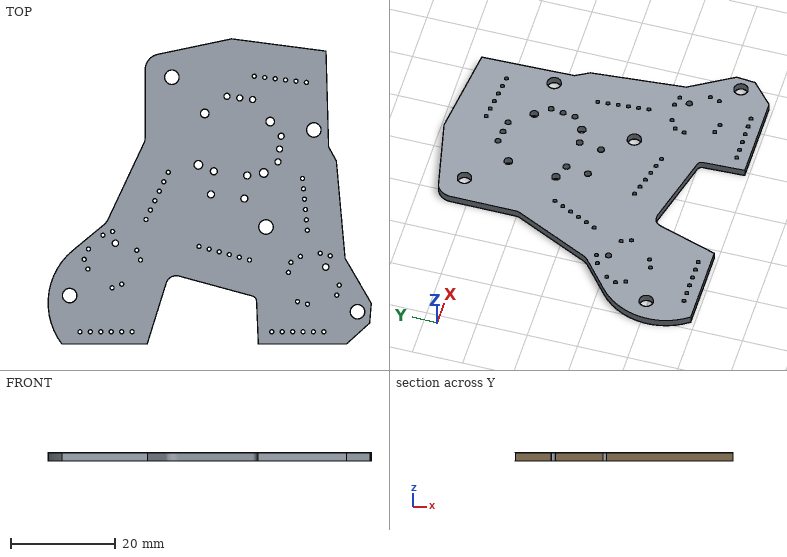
import cadquery as cq
import math

width = 61.9
height = 58.45
thickness = 1.6

side_x = 18.6
apex_x = 35.15
notch_left_x = 19.0
notch_right_x = 40.25
notch_left_top = (23.2, 13.5)
notch_right_top = (39.9, 9.0)
foot_end_x = 57.15
foot_corner = (61.6, 4.0)
right_tip_y = 7.8
right_hip = (56.9, 16.4)
right_ledge_bottom = (55.2, 35.05)
right_ledge_top = (53.75, 37.75)
top_right = (53.25, 56.1)
shoulder = (side_x, 55.0)
waist = (side_x, 38.95)
neck = (11.2, 23.3)
lobe_start = (4.75, 17.95)
lobe_mid_y = 7.8
lobe_end_x = 2.65

shoulder_radius = 3.1
waist_radius = 2.0
neck_radius = 3.0
notch_left_radius = 2.0
notch_right_radius = 1.0

mounting_diameter = 2.7
post_diameter = 1.6
lug_diameter = 1.3
lead_diameter = 1.1
light_diameter = 1.2
pin_diameter = 0.75

mounting_holes = [(4.15, 9.3), (59.25, 6.2), (41.7, 22.4), (50.9, 41.0), (23.7, 51.1)]

component_tilt = -7.1
post_center = (35.65, 38.45)
post_spacing = (12.6, 9.9)
lug_center = (34.7, 30.45)
lug_spacing = (6.45, 4.45)
lead_pitch = 2.5
top_leads_center = (36.7, 47.1)
right_leads_center = (44.3, 37.35)

pins_per_header = 6
headers = [
    ((6.1, 2.35), (16.1, 2.35)),
    ((42.85, 2.35), (52.8, 2.35)),
    ((39.5, 51.25), (49.45, 50.1)),
    ((23.0, 32.9), (18.75, 23.85)),
    ((48.7, 31.7), (49.65, 21.8)),
    ((28.9, 18.7), (38.6, 16.1)),
]

sockets = [((12.3, 16.15), 21.0), ((50.9, 12.5), -14.0)]
socket_reach = 5.0
socket_pin_pitch = 2.0
socket_corner_offset = 3.5
socket_light = (1.7, 2.7)


def placed(points, center, tilt):
    """Turn local points by tilt degrees and move them to center."""
    c = math.cos(math.radians(tilt))
    s = math.sin(math.radians(tilt))
    return [(center[0] + c * x - s * y, center[1] + s * x + c * y) for x, y in points]


def rectangle_points(spacing):
    return [(sx * spacing[0] / 2, sy * spacing[1] / 2) for sx in (-1, 1) for sy in (-1, 1)]


def row_points(first, last, count):
    step_x = (last[0] - first[0]) / (count - 1)
    step_y = (last[1] - first[1]) / (count - 1)
    return [(first[0] + i * step_x, first[1] + i * step_y) for i in range(count)]


def drill(body, points, diameter):
    cutters = cq.Workplane("XY").pushPoints(points).circle(diameter / 2).extrude(thickness)
    return body.cut(cutters)


def make_board():
    board = (
        cq.Workplane("XY")
        .moveTo(lobe_end_x, 0)
        .lineTo(notch_left_x, 0)
        .lineTo(*notch_left_top)
        .lineTo(*notch_right_top)
        .lineTo(notch_right_x, 0)
        .lineTo(foot_end_x, 0)
        .lineTo(*foot_corner)
        .lineTo(width, right_tip_y)
        .lineTo(*right_hip)
        .lineTo(*right_ledge_bottom)
        .lineTo(*right_ledge_top)
        .lineTo(*top_right)
        .lineTo(apex_x, height)
        .lineTo(*shoulder)
        .lineTo(*waist)
        .lineTo(*neck)
        .lineTo(*lobe_start)
        .threePointArc((0, lobe_mid_y), (lobe_end_x, 0))
        .close()
        .extrude(thickness)
    )
    rounded_corners = [
        (shoulder, shoulder_radius),
        (waist, waist_radius),
        (neck, neck_radius),
        (notch_left_top, notch_left_radius),
        (notch_right_top, notch_right_radius),
    ]
    for (x, y), radius in rounded_corners:
        corner_edge = cq.selectors.NearestToPointSelector((x, y, thickness / 2))
        board = board.edges("|Z").edges(corner_edge).fillet(radius)
    return board


def drill_component(body):
    body = drill(body, placed(rectangle_points(post_spacing), post_center, component_tilt), post_diameter)
    body = drill(body, placed(rectangle_points(lug_spacing), lug_center, component_tilt), lug_diameter)
    leads = [(-lead_pitch, 0), (0, 0), (lead_pitch, 0)]
    body = drill(body, placed(leads, top_leads_center, component_tilt), lead_diameter)
    return drill(body, placed(leads, right_leads_center, component_tilt + 90), lead_diameter)


def drill_socket(body, center, tilt):
    pins = [
        (socket_reach, 0),
        (socket_reach, -socket_pin_pitch),
        (0, socket_reach),
        (socket_pin_pitch, socket_reach),
        (-socket_reach, 0),
        (-socket_reach, socket_pin_pitch),
        (0, -socket_reach),
        (-socket_pin_pitch, -socket_reach),
        (-socket_corner_offset, socket_corner_offset),
    ]
    body = drill(body, placed(pins, center, tilt), pin_diameter)
    return drill(body, placed([socket_light], center, tilt), light_diameter)


result = make_board()
result = drill(result, mounting_holes, mounting_diameter)
result = drill_component(result)
for first_pin, last_pin in headers:
    result = drill(result, row_points(first_pin, last_pin, pins_per_header), pin_diameter)
for socket_center, socket_tilt in sockets:
    result = drill_socket(result, socket_center, socket_tilt)